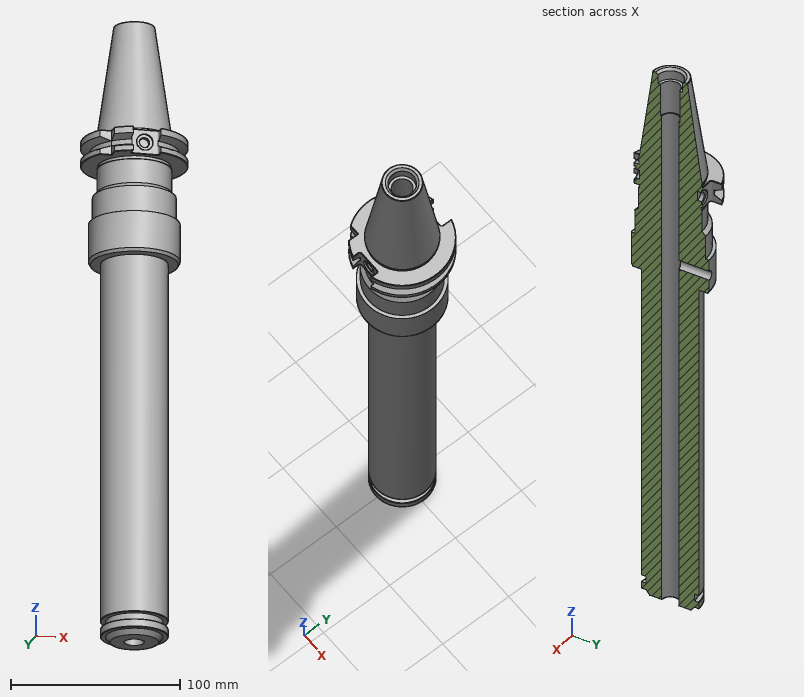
import cadquery as cq

TOTAL_LENGTH = 382.2
EDGE_BREAK = 0.5

TAPER_RATIO = 7 / 24
TAPER_LENGTH = 69.0
TAPER_SMALL_DIAMETER = 24.5
GAUGE_DIAMETER = TAPER_SMALL_DIAMETER + TAPER_LENGTH * TAPER_RATIO
GAUGE_Z = TOTAL_LENGTH - TAPER_LENGTH

FLANGE_DIAMETER = 63.5
FLANGE_SETBACK = 2.3
FLANGE_TOP_Z = GAUGE_Z - FLANGE_SETBACK
FLANGE_HEIGHT = 15.3
FLANGE_BOTTOM_Z = FLANGE_TOP_Z - FLANGE_HEIGHT
GROOVE_FLOOR_DIAMETER = 53.0
GROOVE_FLOOR_WIDTH = 3.0
GROOVE_OPENING = 7.5
GROOVE_SETBACK = 10.5
GROOVE_CENTER_Z = GAUGE_Z - GROOVE_SETBACK

RELIEF_WIDTH = 2.0
RELIEF_DEPTH = 0.45

SLOT_WIDTH = 17.0
SLOT_CORNER_RADIUS = 1.0
FRONT_SLOT_FLOOR = 25.2
BACK_SLOT_FLOOR = 23.0

SCREW_Z = FLANGE_BOTTOM_Z + FLANGE_HEIGHT / 2
SCREW_HEAD_DIAMETER = 10.0
SCREW_HEAD_DEPTH = 1.0
SCREW_SHANK_DIAMETER = 6.0
SCREW_SHANK_DEPTH = 4.0

NOTCH_WALL = 18.7

NECK_DIAMETER = 44.5
SHOULDER_DIAMETER = 49.7
SHOULDER_Z = 276.0
SHOULDER_CHAMFER = (SHOULDER_DIAMETER - NECK_DIAMETER) / 2
COLLAR_DIAMETER = 54.3
COLLAR_TOP_Z = 259.5
COLLAR_BOTTOM_Z = 234.7
COLLAR_CHAMFER_WIDTH = 1.0
COLLAR_CHAMFER_HEIGHT = 2.0
TUBE_DIAMETER = 40.0

COLLAR_HOLE_DIAMETER = 6.0
COLLAR_HOLE_Z = 248.0

TUBE_END_Z = 12.5
NUT_TOP_Z = 8.0
NUT_BOTTOM_Z = 3.0
NUT_NECK_DIAMETER = 34.0
NOSE_DIAMETER = 28.5

BORE_DIAMETER = 12.0
THREAD_DIAMETER = 13.0
THREAD_DEPTH = 30.5
COUNTERBORE_DIAMETER = 17.0
COUNTERBORE_DEPTH = 7.5
COUNTERBORE_CHAMFER = 1.5


def revolve_profile(profile):
    """Revolve a closed outline given as (diameter, z) points about Z."""
    points = [(diameter / 2, z) for diameter, z in profile]
    return cq.Workplane("XZ").polyline(points).close().revolve(360, (0, 0, 0), (0, 1, 0))


def half_turn(shape):
    """Turn a shape from the -Y side to the +Y side."""
    return shape.rotate((0, 0, 0), (0, 0, 1), 180)


def make_nose_body():
    """Nut, tube, collar, shoulder and neck, up to the underside of the flange."""
    tube_edge_diameter = TUBE_DIAMETER - 2 * EDGE_BREAK
    return revolve_profile([
        (0, 0),
        (NOSE_DIAMETER, 0),
        (NUT_NECK_DIAMETER, NUT_BOTTOM_Z),
        (tube_edge_diameter, NUT_BOTTOM_Z),
        (TUBE_DIAMETER, NUT_BOTTOM_Z + EDGE_BREAK),
        (TUBE_DIAMETER, NUT_TOP_Z - EDGE_BREAK),
        (tube_edge_diameter, NUT_TOP_Z),
        (NUT_NECK_DIAMETER, NUT_TOP_Z),
        (NUT_NECK_DIAMETER, TUBE_END_Z),
        (tube_edge_diameter, TUBE_END_Z),
        (TUBE_DIAMETER, TUBE_END_Z + EDGE_BREAK),
        (TUBE_DIAMETER, COLLAR_BOTTOM_Z),
        (COLLAR_DIAMETER - 2 * COLLAR_CHAMFER_WIDTH, COLLAR_BOTTOM_Z),
        (COLLAR_DIAMETER, COLLAR_BOTTOM_Z + COLLAR_CHAMFER_HEIGHT),
        (COLLAR_DIAMETER, COLLAR_TOP_Z),
        (SHOULDER_DIAMETER, COLLAR_TOP_Z),
        (SHOULDER_DIAMETER, SHOULDER_Z),
        (NECK_DIAMETER, SHOULDER_Z + SHOULDER_CHAMFER),
        (NECK_DIAMETER, FLANGE_BOTTOM_Z - RELIEF_WIDTH),
        (NECK_DIAMETER - 2 * RELIEF_DEPTH, FLANGE_BOTTOM_Z - RELIEF_WIDTH),
        (NECK_DIAMETER - 2 * RELIEF_DEPTH, FLANGE_BOTTOM_Z),
        (0, FLANGE_BOTTOM_Z),
    ])


def make_shank():
    """Taper shank, standing on the top face of the flange."""
    relief_diameter = GAUGE_DIAMETER - 2 * RELIEF_DEPTH
    return revolve_profile([
        (0, FLANGE_TOP_Z),
        (relief_diameter, FLANGE_TOP_Z),
        (relief_diameter, FLANGE_TOP_Z + RELIEF_WIDTH),
        (GAUGE_DIAMETER, FLANGE_TOP_Z + RELIEF_WIDTH),
        (GAUGE_DIAMETER, GAUGE_Z),
        (TAPER_SMALL_DIAMETER, TOTAL_LENGTH - EDGE_BREAK),
        (TAPER_SMALL_DIAMETER - 2 * EDGE_BREAK, TOTAL_LENGTH),
        (0, TOTAL_LENGTH),
    ])


def flange_block(x_size, y_size):
    """Box as tall as the flange, with its low X and low Y corner on the axis."""
    base = cq.Workplane("XY").workplane(offset=FLANGE_BOTTOM_Z)
    return base.rect(x_size, y_size, centered=False).extrude(FLANGE_HEIGHT)


def make_drive_slot(floor_distance):
    """Slot across the flange on the -Y side, with rounded floor corners."""
    slot = flange_block(SLOT_WIDTH, FLANGE_DIAMETER).edges("|Z and >Y").fillet(SLOT_CORNER_RADIUS)
    return slot.translate((-SLOT_WIDTH / 2, -floor_distance - FLANGE_DIAMETER, 0))


def make_screw_hole(floor_distance):
    """Stepped hole running from a -Y slot floor toward the axis."""
    floor = cq.Workplane("XZ", origin=(0, -floor_distance, SCREW_Z))
    head = floor.circle(SCREW_HEAD_DIAMETER / 2).extrude(-SCREW_HEAD_DEPTH)
    shank = floor.circle(SCREW_SHANK_DIAMETER / 2).extrude(-SCREW_SHANK_DEPTH)
    return head.union(shank)


def make_notch():
    """Square corner notch on the -X, -Y side of the flange."""
    corner = -NOTCH_WALL - FLANGE_DIAMETER
    return flange_block(FLANGE_DIAMETER, FLANGE_DIAMETER).translate((corner, corner, 0))


def make_groove():
    """V groove with a flat floor around the flange rim."""
    return revolve_profile([
        (GROOVE_FLOOR_DIAMETER, GROOVE_CENTER_Z - GROOVE_FLOOR_WIDTH / 2),
        (FLANGE_DIAMETER, GROOVE_CENTER_Z - GROOVE_OPENING / 2),
        (FLANGE_DIAMETER, GROOVE_CENTER_Z + GROOVE_OPENING / 2),
        (GROOVE_FLOOR_DIAMETER, GROOVE_CENTER_Z + GROOVE_FLOOR_WIDTH / 2),
    ])


def make_flange():
    """Flange disc with notch, drive slots, broken edges and V groove."""
    base = cq.Workplane("XY").workplane(offset=FLANGE_BOTTOM_Z)
    disc = base.circle(FLANGE_DIAMETER / 2).extrude(FLANGE_HEIGHT)
    front_slot = make_drive_slot(FRONT_SLOT_FLOOR)
    back_slot = half_turn(make_drive_slot(BACK_SLOT_FLOOR))
    flange = disc.cut(make_notch()).cut(front_slot).cut(back_slot)
    return flange.faces("<Z or >Z").edges().chamfer(EDGE_BREAK).cut(make_groove())


def make_bore():
    """Through bore with a threaded length and a chamfered counterbore at the taper end."""
    top = cq.Workplane("XY").workplane(offset=TOTAL_LENGTH)
    bore = top.circle(BORE_DIAMETER / 2).extrude(-TOTAL_LENGTH)
    thread = top.circle(THREAD_DIAMETER / 2).extrude(-THREAD_DEPTH)
    counterbore = top.circle(COUNTERBORE_DIAMETER / 2).extrude(-COUNTERBORE_DEPTH)
    mouth = revolve_profile([
        (0, TOTAL_LENGTH),
        (COUNTERBORE_DIAMETER + 2 * COUNTERBORE_CHAMFER, TOTAL_LENGTH),
        (COUNTERBORE_DIAMETER, TOTAL_LENGTH - COUNTERBORE_CHAMFER),
        (0, TOTAL_LENGTH - COUNTERBORE_CHAMFER),
    ])
    return bore.union(thread).union(counterbore).union(mouth)


def make_collar_hole():
    """Radial hole from the +Y side of the collar into the bore."""
    start = cq.Workplane("XZ", origin=(0, 0, COLLAR_HOLE_Z))
    return start.circle(COLLAR_HOLE_DIAMETER / 2).extrude(-COLLAR_DIAMETER)


body = make_nose_body().union(make_flange()).union(make_shank())
front_screw_hole = make_screw_hole(FRONT_SLOT_FLOOR)
back_screw_hole = half_turn(make_screw_hole(BACK_SLOT_FLOOR))
result = body.cut(make_bore()).cut(make_collar_hole()).cut(front_screw_hole).cut(back_screw_hole)